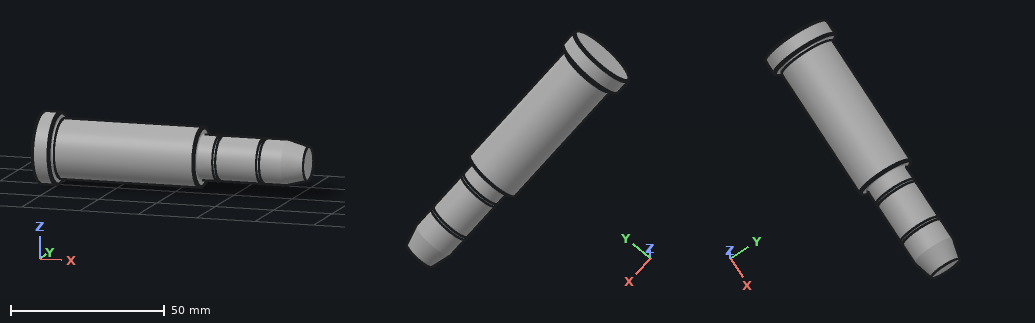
import cadquery as cq
import math

total_length = 91.0
head_diameter = 24.0
head_length = 6.0
head_chamfer = 0.5
body_diameter = 20.0
body_end = 55.0
body_chamfer = 0.5
root_fillet = 0.5
pin_diameter = 15.0
taper_start = 84.0
taper_angle = 15.0

groove_radius = 0.5
ring_groove_centers = (61.0, 76.0)

head_radius = head_diameter / 2
body_radius = body_diameter / 2
pin_radius = pin_diameter / 2
tip_radius = pin_radius - (total_length - taper_start) * math.tan(math.radians(taper_angle))


def add_groove(outline, center, surface_radius):
    """Continue the outline through a half-round groove at the given station."""
    return (
        outline.lineTo(center - groove_radius, surface_radius)
        .threePointArc((center, surface_radius - groove_radius), (center + groove_radius, surface_radius))
    )


outline = (
    cq.Workplane("XY")
    .moveTo(0, 0)
    .lineTo(0, head_radius - head_chamfer)
    .lineTo(head_chamfer, head_radius)
    .lineTo(head_length - head_chamfer, head_radius)
    .lineTo(head_length, head_radius - head_chamfer)
)

outline = add_groove(outline, head_length + groove_radius, body_radius)
outline = (
    outline.lineTo(body_end - body_chamfer, body_radius)
    .lineTo(body_end, body_radius - body_chamfer)
)

outline = (
    outline.lineTo(body_end, pin_radius + root_fillet)
    .radiusArc((body_end + root_fillet, pin_radius), -root_fillet)
)
for center in ring_groove_centers:
    outline = add_groove(outline, center, pin_radius)

outline = (
    outline.lineTo(taper_start, pin_radius)
    .lineTo(total_length, tip_radius)
    .lineTo(total_length, 0)
    .close()
)

result = outline.revolve(360, (0, 0, 0), (1, 0, 0))